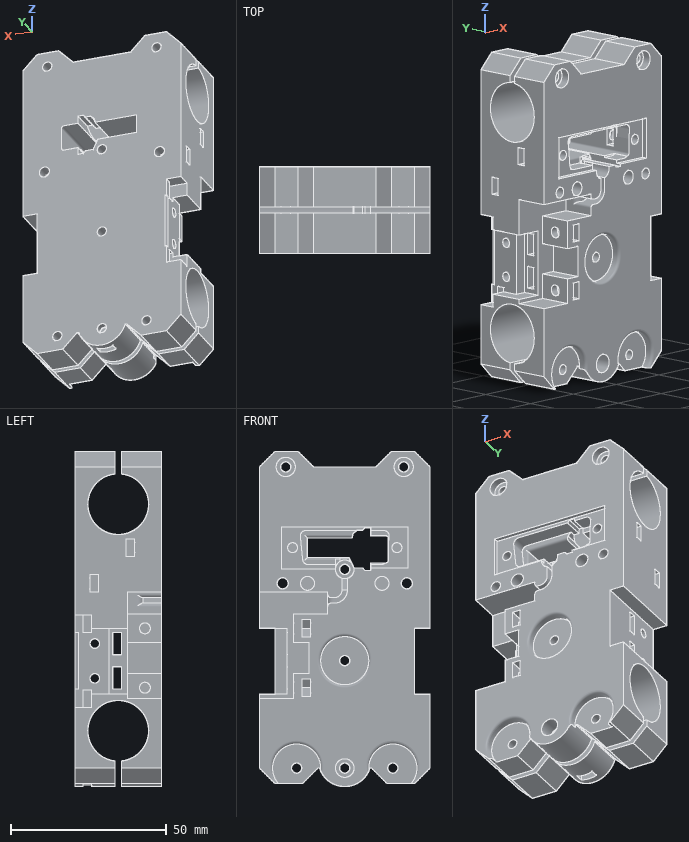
import cadquery as cq
import math

WIDTH = 55.0
DEPTH = 28.0
HEIGHT = 108.0
HALF_W = WIDTH / 2
FRONT_Y = -DEPTH / 2
BACK_Y = DEPTH / 2
TOP_Z = HEIGHT / 2
BOTTOM_Z = -HEIGHT / 2

CHAMFER = 5.0
SHOULDER_X = HALF_W - CHAMFER
TOP_EAR_INNER_X = 15.0
BOTTOM_EAR_INNER_X = 13.6
EAR_BOTTOM_Z = BOTTOM_Z + 1.0
BOSS_RADIUS = 8.5
BOSS_Z = BOTTOM_Z + BOSS_RADIUS
WAIST_TOP_Z = -3.0
WAIST_BOTTOM_Z = -24.2

ROD_BORE_DIA = 19.5
UPPER_ROD_Z = 37.0
LOWER_ROD_Z = -36.0
CLAMP_SLIT = 2.0

SCREW_DIA = 3.2
LOOSE_SCREW_DIA = 3.5
NUT_FLATS = 5.6
NUT_SLOT = 2.7
TOP_SCREW = (19.0, TOP_Z - CHAMFER)
TOP_HEAD_DIA = 6.2
TOP_HEAD_DEPTH = 3.0
BOTTOM_SCREW_Z = -48.0
HEAD_DIA = 6.0
BOSS_HEAD_DEPTH = 6.0
REAR_NUT_Y = 8.6
MOUNT_SCREW = (20.0, 11.5)
MOUNT_NUT_Y = 6.4
PILOT_DIA = 4.5
PILOT_X = 12.0
PILOT_DEPTH = 8.0

BEARING_DIA = 15.5
BEARING_DEPTH = 3.0
BEARING_LIP = 1.0
BEARING_CENTRES = [(0, -13.4), (-15.5, BOTTOM_SCREW_Z), (15.5, BOTTOM_SCREW_Z)]

POCKET_BACK_Y = -3.0
POCKET_TOP_Z = 8.7
POCKET_BOTTOM_Z = -25.6
POCKET_INNER_X = -5.5
JAW_X = -16.5
JAW_GAP_X = -11.5
UPPER_JAW_TOP_Z = 1.6
JAW_GAP_TOP_Z = -7.55
JAW_GAP_BOTTOM_Z = -17.5
JAW_SCREW_Y = -8.6
JAW_SCREW_ZS = (-3.0, -22.1)
JAW_SCREW_END_X = -7.0
JAW_NUT_X = -13.7

WAIST_RECESS_X = -18.6
WAIST_RECESS_HALF_Y = 3.0
TIE_SLOT_Y = (-1.0, 1.7)
TIE_LENGTH = 7.1
TIE_SLOT_ZS = (-7.95, -18.95)
WAIST_HOLE_DIA = 3.0
WAIST_HOLE_Y = 7.55
WAIST_HOLE_ZS = (-7.9, -19.1)
REAR_NOTCH_TOP_Z = 1.25
REAR_NOTCH_BOTTOM_Z = -28.45
REAR_SLOT_HEIGHT = 5.65
REAR_SLOT_DEPTH = 4.0
REAR_EDGE_TOP_Z = -4.4
REAR_EDGE_BOTTOM_Z = -22.5
REAR_EDGE_Y = 1.2
REAR_EDGE_X = 0.6

FLANGE_HALF_W = 20.45
FLANGE_TOP_Z = 29.65
FLANGE_BOTTOM_Z = 16.5
FLANGE_STEP = 0.4
FLANGE_DEPTH = 1.7
FLANGE_SCREW = (16.8, 23.0)
FLANGE_SCREW_END_Y = 0.0
FLANGE_NUT_Y = -5.25
SHELL_TOP_HALF_W = 14.5
SHELL_BOTTOM_HALF_W = 13.4
SHELL_TOP_Z = 28.55
SHELL_BOTTOM_Z = 17.55
SHELL_CORNER = 1.8
SHELL_BACK_Y = -6.8
FUNNEL_RADIUS = 0.95
FUNNEL_LEFT_X = -12.95
FUNNEL_RIGHT_X = 4.0
FUNNEL_TOP_Z = 27.05
FUNNEL_BOTTOM_Z = 18.9
WINDOW_RIGHT_X = 14.0
WINDOW_TOP_Z = 26.8
WINDOW_BOTTOM_Z = 18.1
WINDOW_CORNER = 0.8

KEYWAY_TOP_Z = 28.55
KEYWAY_BOTTOM_Z = 16.5
KEYWAY_STEP = 0.8
KEYWAY_STEP_X = 5.7
KEYWAY_RIGHT_X = 8.3
KEYWAY_LOWER_X = 1.4
KEYWAY_BASE_X = 3.0
KEYWAY_CREST_X = 3.9
KEYWAY_HAUNCH_X = 2.7
KEYWAY_HAUNCH_Z = 27.5
KEYWAY_UPPER_X = 2.4

GUIDE_SCREW_Z = 16.0
GUIDE_HEAD_DEPTH = 11.0
GUIDE_WIDE_SLOT_DEPTH = 7.35
GUIDE_NARROW_SLOT_DEPTH = 7.5
CHANNEL_WIDTH = 1.75
CHANNEL_DEPTH = 6.0
CHANNEL_Z = 6.0
BEND_RADIUS = 3.4
MOUTH_FLARE = 2.0
MOUTH_SIDE_FLARE = 1.1


def box(x0, x1, y0, y1, z0, z1):
    """Box between opposite corner coordinates."""
    return cq.Workplane("XY").box(x1 - x0, y1 - y0, z1 - z0, centered=False).translate((x0, y0, z0))


def rod_along_y(x, z, dia, y0=FRONT_Y, y1=BACK_Y):
    return cq.Workplane("XZ", origin=(x, y0, z)).circle(dia / 2).extrude(-(y1 - y0))


def rod_along_x(y, z, dia, x0=-HALF_W, x1=HALF_W):
    return cq.Workplane("YZ", origin=(x0, y, z)).circle(dia / 2).extrude(x1 - x0)


def prism_along_y(points, y0=FRONT_Y, y1=BACK_Y):
    """Prism with an X-Z outline running from y0 to y1."""
    return cq.Workplane("XZ", origin=(0, y0, 0)).polyline(points).close().extrude(-(y1 - y0))


def make_body():
    top_notch_x = TOP_EAR_INNER_X - CHAMFER
    notch_x = BOTTOM_EAR_INNER_X - CHAMFER
    right_half = [
        (0, TOP_Z - CHAMFER),
        (top_notch_x, TOP_Z - CHAMFER),
        (TOP_EAR_INNER_X, TOP_Z),
        (SHOULDER_X, TOP_Z),
        (HALF_W, TOP_Z - CHAMFER),
        (HALF_W, WAIST_TOP_Z),
        (SHOULDER_X, WAIST_TOP_Z),
        (SHOULDER_X, WAIST_BOTTOM_Z),
        (HALF_W, WAIST_BOTTOM_Z),
        (HALF_W, EAR_BOTTOM_Z + CHAMFER),
        (SHOULDER_X, EAR_BOTTOM_Z),
        (BOTTOM_EAR_INNER_X, EAR_BOTTOM_Z),
        (notch_x, EAR_BOTTOM_Z + CHAMFER),
        (0, EAR_BOTTOM_Z + CHAMFER),
    ]
    half = prism_along_y(right_half)
    boss = rod_along_y(0, BOSS_Z, 2 * BOSS_RADIUS)
    return half.union(half.mirror("YZ")).union(boss)


def rod_clamps():
    bores = rod_along_x(0, UPPER_ROD_Z, ROD_BORE_DIA).union(rod_along_x(0, LOWER_ROD_Z, ROD_BORE_DIA))
    half_slit = CLAMP_SLIT / 2
    upper_slit = box(-HALF_W, HALF_W, -half_slit, half_slit, UPPER_ROD_Z, TOP_Z)
    lower_slit = box(-HALF_W, HALF_W, -half_slit, half_slit, BOTTOM_Z, LOWER_ROD_Z)
    return bores.union(upper_slit).union(lower_slit)


def bearing_seat(x, z):
    """Round seat with a rounded rim and a screw hole through the block."""
    radius = BEARING_DIA / 2
    bend = BEARING_LIP * (1 - math.sqrt(0.5))
    profile = (
        cq.Workplane("XY")
        .lineTo(radius + BEARING_LIP, 0)
        .threePointArc((radius + bend, bend), (radius, BEARING_LIP))
        .lineTo(radius, BEARING_DEPTH)
        .lineTo(0, BEARING_DEPTH)
        .close()
    )
    seat = profile.revolve(360, (0, 0), (0, 1)).translate((x, FRONT_Y, z))
    return seat.union(rod_along_y(x, z, SCREW_DIA))


def counterbored_hole(x, z, head_dia, head_depth):
    head = rod_along_y(x, z, head_dia, FRONT_Y, FRONT_Y + head_depth)
    return rod_along_y(x, z, SCREW_DIA).union(head)


def clamp_screws():
    x, z = TOP_SCREW
    cut = counterbored_hole(0, BOTTOM_SCREW_Z, HEAD_DIA, BOSS_HEAD_DEPTH)
    for side in (-1, 1):
        cut = cut.union(counterbored_hole(side * x, z, TOP_HEAD_DIA, TOP_HEAD_DEPTH))
    half_nut = NUT_FLATS / 2
    nut = box(
        -half_nut, half_nut, REAR_NUT_Y, REAR_NUT_Y + NUT_SLOT, BOTTOM_Z, BOTTOM_SCREW_Z + half_nut
    )
    return cut.union(nut)


def side_nut_slot(screw, y0):
    """Nut slot entering from the -X face and ending just past the screw at (-x, z)."""
    x, z = screw
    half_nut = NUT_FLATS / 2
    return box(-HALF_W, half_nut - x, y0, y0 + NUT_SLOT, z - half_nut, z + half_nut)


def mounting_holes():
    x, z = MOUNT_SCREW
    pilot_end = FRONT_Y + PILOT_DEPTH
    left = rod_along_y(-x, z, LOOSE_SCREW_DIA)
    left = left.union(rod_along_y(-PILOT_X, z, PILOT_DIA, FRONT_Y, pilot_end))
    left = left.union(side_nut_slot(MOUNT_SCREW, MOUNT_NUT_Y))
    return left.union(left.mirror("YZ"))


def sensor_pocket():
    outline = [
        (-HALF_W, POCKET_TOP_Z),
        (POCKET_INNER_X, POCKET_TOP_Z),
        (POCKET_INNER_X, UPPER_JAW_TOP_Z),
        (JAW_X, UPPER_JAW_TOP_Z),
        (JAW_X, JAW_GAP_TOP_Z),
        (JAW_GAP_X, JAW_GAP_TOP_Z),
        (JAW_GAP_X, JAW_GAP_BOTTOM_Z),
        (JAW_X, JAW_GAP_BOTTOM_Z),
        (JAW_X, POCKET_BOTTOM_Z),
        (-HALF_W, POCKET_BOTTOM_Z),
    ]
    return prism_along_y(outline, FRONT_Y, POCKET_BACK_Y)


def jaw_screw(z):
    """Cross screw hole and a nut slot from the front face with a hexagon-corner end."""
    half_nut = NUT_FLATS / 2
    corner_y = JAW_SCREW_Y + half_nut / math.cos(math.radians(30))
    side_y = JAW_SCREW_Y + half_nut * math.tan(math.radians(30))
    outline = [
        (FRONT_Y, z - half_nut),
        (side_y, z - half_nut),
        (corner_y, z),
        (side_y, z + half_nut),
        (FRONT_Y, z + half_nut),
    ]
    nut = cq.Workplane("YZ", origin=(JAW_NUT_X, 0, 0)).polyline(outline).close().extrude(NUT_SLOT)
    return nut.union(rod_along_x(JAW_SCREW_Y, z, LOOSE_SCREW_DIA, JAW_X, JAW_SCREW_END_X))


def waist_openings():
    cut = box(
        -HALF_W, WAIST_RECESS_X, -WAIST_RECESS_HALF_Y, WAIST_RECESS_HALF_Y, WAIST_BOTTOM_Z, WAIST_TOP_Z
    )
    for z in TIE_SLOT_ZS:
        cut = cut.union(box(-HALF_W, HALF_W, *TIE_SLOT_Y, z - TIE_LENGTH / 2, z + TIE_LENGTH / 2))
    for z in WAIST_HOLE_ZS:
        cut = cut.union(rod_along_x(WAIST_HOLE_Y, z, WAIST_HOLE_DIA))
    return cut


def rear_tie_notch():
    """Rear left corner notch, two tie slots in its floor and a bevel on the edge between them."""
    floor_x = -SHOULDER_X
    cut = box(-HALF_W, floor_x, REAR_NUT_Y, BACK_Y, REAR_NOTCH_BOTTOM_Z, REAR_NOTCH_TOP_Z)
    for z0 in (REAR_NOTCH_BOTTOM_Z, REAR_NOTCH_TOP_Z - REAR_SLOT_HEIGHT):
        slot_end_x = floor_x + REAR_SLOT_DEPTH
        slot = box(floor_x, slot_end_x, REAR_NUT_Y, REAR_NUT_Y + NUT_SLOT, z0, z0 + REAR_SLOT_HEIGHT)
        cut = cut.union(slot)
    bevel = (
        cq.Workplane("XY", origin=(0, 0, REAR_EDGE_BOTTOM_Z))
        .moveTo(floor_x, BACK_Y - REAR_EDGE_Y)
        .lineTo(floor_x + REAR_EDGE_X, BACK_Y)
        .lineTo(floor_x, BACK_Y)
        .close()
        .extrude(REAR_EDGE_TOP_Z - REAR_EDGE_BOTTOM_Z)
    )
    return cut.union(bevel)


def connector_seat():
    """Flange recess, its screws and nut slots, and the tapered shell pocket behind it."""
    back = FRONT_Y + FLANGE_DEPTH
    cut = box(-FLANGE_HALF_W, FLANGE_HALF_W, FRONT_Y, back, FLANGE_BOTTOM_Z, FLANGE_TOP_Z)
    step = box(-FLANGE_HALF_W, 0, FRONT_Y, back, FLANGE_BOTTOM_Z - FLANGE_STEP, FLANGE_BOTTOM_Z)
    cut = cut.union(step)
    x, z = FLANGE_SCREW
    left = rod_along_y(-x, z, SCREW_DIA, FRONT_Y, FLANGE_SCREW_END_Y)
    left = left.union(side_nut_slot(FLANGE_SCREW, FLANGE_NUT_Y))
    shell_outline = [
        (-SHELL_TOP_HALF_W, SHELL_TOP_Z),
        (SHELL_TOP_HALF_W, SHELL_TOP_Z),
        (SHELL_BOTTOM_HALF_W, SHELL_BOTTOM_Z),
        (-SHELL_BOTTOM_HALF_W, SHELL_BOTTOM_Z),
    ]
    shell = prism_along_y(shell_outline, FRONT_Y, SHELL_BACK_Y).edges("|Y").fillet(SHELL_CORNER)
    return cut.union(left).union(left.mirror("YZ")).union(shell)


def funnel():
    """Window behind the shell pocket, its left, top and bottom entry edges rounded."""
    left = FUNNEL_LEFT_X + FUNNEL_RADIUS
    top = FUNNEL_TOP_Z - FUNNEL_RADIUS
    bottom = FUNNEL_BOTTOM_Z + FUNNEL_RADIUS
    neck_y = SHELL_BACK_Y + FUNNEL_RADIUS
    entry = box(FUNNEL_LEFT_X, FUNNEL_RIGHT_X, SHELL_BACK_Y, neck_y, FUNNEL_BOTTOM_Z, FUNNEL_TOP_Z)
    for z in (FUNNEL_BOTTOM_Z, FUNNEL_TOP_Z):
        entry = entry.cut(rod_along_x(neck_y, z, 2 * FUNNEL_RADIUS))
    left_round = cq.Workplane("XY", origin=(FUNNEL_LEFT_X, neck_y, FUNNEL_BOTTOM_Z)).circle(FUNNEL_RADIUS)
    entry = entry.cut(left_round.extrude(FUNNEL_TOP_Z - FUNNEL_BOTTOM_Z))
    return entry.union(box(left, FUNNEL_RIGHT_X, neck_y, BACK_Y, bottom, top))


def through_window():
    """Stepped opening right through the block at the right end of the funnel."""
    keyway = [
        (KEYWAY_LOWER_X, FUNNEL_BOTTOM_Z + FUNNEL_RADIUS),
        (KEYWAY_BASE_X, KEYWAY_BOTTOM_Z),
        (KEYWAY_STEP_X, KEYWAY_BOTTOM_Z),
        (KEYWAY_STEP_X + KEYWAY_STEP, KEYWAY_BOTTOM_Z - KEYWAY_STEP),
        (KEYWAY_RIGHT_X, KEYWAY_BOTTOM_Z - KEYWAY_STEP),
        (KEYWAY_RIGHT_X, KEYWAY_TOP_Z + KEYWAY_STEP),
        (KEYWAY_STEP_X + KEYWAY_STEP, KEYWAY_TOP_Z + KEYWAY_STEP),
        (KEYWAY_STEP_X, KEYWAY_TOP_Z),
        (KEYWAY_CREST_X, KEYWAY_TOP_Z),
        (KEYWAY_HAUNCH_X, KEYWAY_HAUNCH_Z),
        (KEYWAY_UPPER_X, FUNNEL_TOP_Z - FUNNEL_RADIUS),
    ]
    right = box(KEYWAY_STEP_X, WINDOW_RIGHT_X, FRONT_Y, BACK_Y, WINDOW_BOTTOM_Z, WINDOW_TOP_Z)
    right = right.edges("|Y and >X").fillet(WINDOW_CORNER)
    return prism_along_y(keyway).union(right)


def cable_channel():
    """Guide screw seat opening into the window, and the bent channel to the sensor pocket."""
    half = CHANNEL_WIDTH / 2
    floor_y = FRONT_Y + CHANNEL_DEPTH
    wide_slot_y = FRONT_Y + GUIDE_WIDE_SLOT_DEPTH
    narrow_slot_y = FRONT_Y + GUIDE_NARROW_SLOT_DEPTH
    screw_half = SCREW_DIA / 2
    head_y = FRONT_Y + GUIDE_HEAD_DEPTH
    bend_x = -BEND_RADIUS
    bend_z = CHANNEL_Z + BEND_RADIUS
    cut = counterbored_hole(0, GUIDE_SCREW_Z, HEAD_DIA, GUIDE_HEAD_DEPTH)
    window_z = FUNNEL_BOTTOM_Z + FUNNEL_RADIUS
    head_half = HEAD_DIA / 2
    cut = cut.union(box(-head_half, head_half, FRONT_Y, wide_slot_y, GUIDE_SCREW_Z, window_z))
    cut = cut.union(box(-screw_half, screw_half, FRONT_Y, narrow_slot_y, GUIDE_SCREW_Z, window_z))

    inner = BEND_RADIUS - half
    outer = BEND_RADIUS + half
    diagonal = math.sqrt(0.5)
    bend = (
        cq.Workplane("XZ", origin=(bend_x, FRONT_Y, bend_z))
        .moveTo(inner, 0)
        .lineTo(outer, 0)
        .threePointArc((outer * diagonal, -outer * diagonal), (0, -outer))
        .lineTo(0, -inner)
        .threePointArc((inner * diagonal, -inner * diagonal), (inner, 0))
        .close()
        .extrude(-CHANNEL_DEPTH)
    )
    ramp = (
        cq.Workplane("YZ", origin=(-half, 0, 0))
        .moveTo(FRONT_Y, bend_z)
        .lineTo(floor_y, bend_z)
        .lineTo(head_y, GUIDE_SCREW_Z)
        .lineTo(FRONT_Y, GUIDE_SCREW_Z)
        .close()
        .extrude(CHANNEL_WIDTH)
    )
    run = box(POCKET_INNER_X, bend_x, FRONT_Y, floor_y, CHANNEL_Z - half, CHANNEL_Z + half)
    return cut.union(bend).union(ramp).union(run).union(channel_mouth(floor_y, half))


def channel_mouth(floor_y, half):
    """Flare where the channel meets the sensor pocket, with rounded floor and side edges."""
    wide = half + MOUTH_SIDE_FLARE
    inner_x = POCKET_INNER_X + MOUTH_FLARE
    outer_y = floor_y + MOUTH_FLARE
    bend = MOUTH_FLARE * math.sqrt(0.5)
    floor_round = (
        cq.Workplane("XY", origin=(0, 0, CHANNEL_Z - wide))
        .moveTo(inner_x, FRONT_Y)
        .lineTo(inner_x, floor_y)
        .threePointArc((inner_x - bend, outer_y - bend), (POCKET_INNER_X, outer_y))
        .lineTo(POCKET_INNER_X, FRONT_Y)
        .close()
        .extrude(2 * wide)
    )
    side_bend = MOUTH_SIDE_FLARE * (1 - math.sqrt(0.5))
    side_end_x = POCKET_INNER_X + MOUTH_SIDE_FLARE
    arc_x = POCKET_INNER_X + side_bend
    arc_z = half + side_bend
    sides = (
        cq.Workplane("XZ", origin=(0, FRONT_Y, CHANNEL_Z))
        .moveTo(POCKET_INNER_X, -wide)
        .threePointArc((arc_x, -arc_z), (side_end_x, -half))
        .lineTo(inner_x, -half)
        .lineTo(inner_x, half)
        .lineTo(side_end_x, half)
        .threePointArc((arc_x, arc_z), (POCKET_INNER_X, wide))
        .close()
        .extrude(-DEPTH)
    )
    return floor_round.intersect(sides)


result = make_body()
cuts = [
    rod_clamps(),
    clamp_screws(),
    mounting_holes(),
    sensor_pocket(),
    waist_openings(),
    rear_tie_notch(),
    connector_seat(),
    funnel(),
    through_window(),
    cable_channel(),
]
cuts += [bearing_seat(x, z) for x, z in BEARING_CENTRES]
cuts += [jaw_screw(z) for z in JAW_SCREW_ZS]
for cut in cuts:
    result = result.cut(cut)